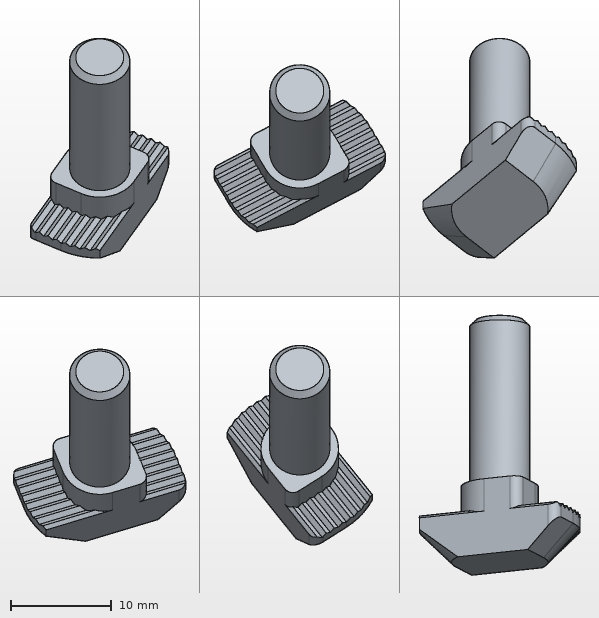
import cadquery as cq
import math

total_height = 24.7
head_width = 7.7
head_length = 16.0
head_side_height = 3.2
crest_height = 4.7
collar_height = 7.7
corner_radius = 1.0
shank_diameter = 6.0
shank_chamfer = 0.62
tooth_pitch = 1.0
tooth_depth = 0.37

half_width = head_width / 2
top_radius = head_length / 2
bottom_radius = top_radius - head_side_height
root_height = crest_height - tooth_depth


def half_turn_outline(radius, base_z):
    """Outline with two square corners and two arcs, unchanged by a half turn about Z."""
    arc_end = math.sqrt(radius**2 - half_width**2)
    middle_angle = math.asin(half_width / radius) / 2
    middle_x = radius * math.sin(middle_angle)
    middle_y = radius * math.cos(middle_angle)
    outline = (
        cq.Workplane("XY").workplane(offset=base_z)
        .moveTo(-half_width, -radius)
        .lineTo(0, -radius)
        .threePointArc((middle_x, -middle_y), (half_width, -arc_end))
        .lineTo(half_width, radius)
        .lineTo(0, radius)
        .threePointArc((-middle_x, middle_y), (-half_width, arc_end))
    )
    return outline.close()


def rounded_prism(radius, base_z, top_z):
    """Upright prism on the outline, with its two square corners rounded."""
    prism = half_turn_outline(radius, base_z).extrude(top_z - base_z)
    for side in (-1, 1):
        corner = cq.selectors.NearestToPointSelector(
            (side * half_width, side * radius, (base_z + top_z) / 2)
        )
        prism = prism.edges("|Z").edges(corner).fillet(corner_radius)
    return prism


def make_head():
    """Hammer head whose underside tapers with straight rulings to a shorter base."""
    base_wire = half_turn_outline(bottom_radius, 0).wire().val()
    upper_wire = half_turn_outline(top_radius, head_side_height).wire().val()
    taper = cq.Workplane(obj=cq.Solid.makeLoft([base_wire, upper_wire], True))
    upper = half_turn_outline(top_radius, head_side_height).extrude(crest_height - head_side_height)
    return taper.union(upper).intersect(rounded_prism(top_radius, 0, crest_height))


def make_grooves():
    """V grooves along Y, one of them centred on the axis."""
    groove_count = 2 * math.ceil(half_width / tooth_pitch) + 1
    groove = (
        cq.Workplane("XZ")
        .polyline([
            (-tooth_pitch / 2, crest_height),
            (0, root_height),
            (tooth_pitch / 2, crest_height),
        ])
        .close()
        .extrude(top_radius, both=True)
    )
    grooves = cq.Workplane("XY")
    for index in range(groove_count):
        offset = (index - groove_count // 2) * tooth_pitch
        grooves = grooves.add(groove.translate((offset, 0, 0)))
    return grooves.combine()


def make_collar():
    """Anti-rotation collar: half round, half square, rising from inside the head."""
    collar = (
        cq.Workplane("XY").workplane(offset=head_side_height)
        .circle(half_width)
        .extrude(collar_height - head_side_height)
    )
    for side in (-1, 1):
        square_part = (
            cq.Workplane("XY").workplane(offset=head_side_height)
            .center(side * half_width / 2, side * half_width / 2)
            .rect(half_width, half_width)
            .extrude(collar_height - head_side_height)
        )
        outer_edge = cq.selectors.NearestToPointSelector(
            (side * half_width, side * half_width, (head_side_height + collar_height) / 2)
        )
        collar = collar.union(square_part.edges("|Z").edges(outer_edge).fillet(corner_radius))
    return collar


def make_shank():
    return (
        cq.Workplane("XY").workplane(offset=head_side_height)
        .circle(shank_diameter / 2)
        .extrude(total_height - head_side_height)
        .faces(">Z").chamfer(shank_chamfer)
    )


result = make_head().cut(make_grooves()).union(make_collar()).union(make_shank())